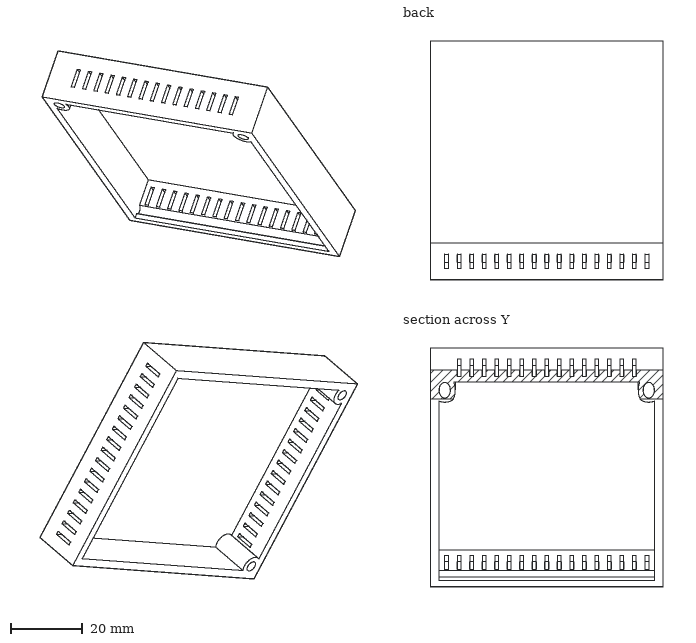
import cadquery as cq
import math

tilt = 135.0
tilted_extent = 66.8

width = 65.0
length = 80.0
thickness = tilted_extent * math.sqrt(2) - length
wall = 2.5
cavity_width = width - 2 * wall
cavity_length = length - 2 * wall
cavity_depth = thickness - wall
opening_z = thickness / 2
floor_z = opening_z - cavity_depth

screw_inset = 4.0
screw_diameter = 3.0
boss_diameter = 6.0

slot_width = 1.0
slot_height = 5.5
lower_slot_count = 17
upper_slot_count = 15
slot_pitch = 56.0 / (lower_slot_count - 1)

groove_diameter = 2.55
groove_lip = 1.5
groove_z = opening_z - groove_lip - groove_diameter / 2


def make_shell():
    body = cq.Workplane("XY").box(width, length, thickness)
    cavity = (
        cq.Workplane("XY", origin=(0, 0, floor_z))
        .rect(cavity_width, cavity_length)
        .extrude(cavity_depth)
    )
    return body.cut(cavity)


def screw_columns(diameter):
    """Two cylinders on the screw axes, from the cavity floor to the opening."""
    x = width / 2 - screw_inset
    y = length / 2 - screw_inset
    return (
        cq.Workplane("XY", origin=(0, 0, floor_z))
        .pushPoints([(-x, y), (x, y)])
        .circle(diameter / 2)
        .extrude(cavity_depth)
    )


def slot_row(count, end):
    """Cutters for one row of slots; end is +1 or -1 for the +Y or -Y wall."""
    y = end * (length - wall) / 2
    return (
        cq.Workplane("XY", origin=(0, y, 0))
        .rarray(slot_pitch, 0.7, count, 1)
        .box(slot_width, wall, slot_height)
    )


def wall_groove():
    """Cylinder centred on the inner face of the -Y wall, as wide as the cavity."""
    return (
        cq.Workplane("YZ", origin=(-cavity_width / 2, 0, 0))
        .center(-cavity_length / 2, groove_z)
        .circle(groove_diameter / 2)
        .extrude(cavity_width)
    )


shell = make_shell().union(screw_columns(boss_diameter))
shell = shell.cut(screw_columns(screw_diameter))
shell = shell.cut(slot_row(upper_slot_count, 1))
shell = shell.cut(slot_row(lower_slot_count, -1))
shell = shell.cut(wall_groove())

result = shell.rotate((0, 0, 0), (1, 0, 0), tilt)